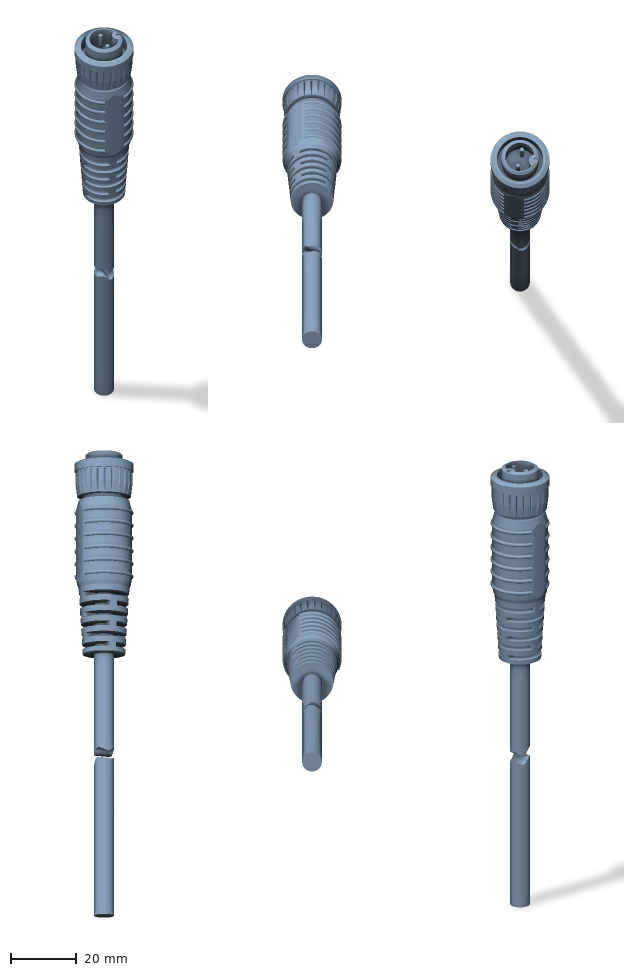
import cadquery as cq

TOTAL_LENGTH = 143.8
TOP_Z = TOTAL_LENGTH / 2
BOTTOM_Z = -TOTAL_LENGTH / 2
NUT_TOP_Z = 69.1
NUT_BOTTOM_Z = 58.4
GRIP_TOP_Z = 57.1
GRIP_BOTTOM_Z = 29.9
RELIEF_BOTTOM_Z = 9.3

NUT_DIAMETER = 18.0
NUT_RADIUS = NUT_DIAMETER / 2
NUT_RIM_BOTTOM_Z = 66.1
NUT_CHAMFER_WIDTH = 1.2
NUT_CHAMFER_HEIGHT = 0.6
NUT_BORE_RADIUS = 6.3
NUT_COUNTERBORE_RADIUS = 7.0
COLLAR_HEIGHT = 0.5
KNURL_RADIUS = 8.6
KNURL_TAPER_Z = 61.8
KNURL_END_RADIUS = 8.2
KNURL_CORE_RADIUS = 7.9
RIDGE_COUNT = 24
RIDGE_RADIUS = 1.0
RIDGE_FLATTENING = 0.3

SLEEVE_RADIUS = 5.6
SLEEVE_BORE_RADIUS = 4.5
SLEEVE_BORE_DEPTH = 7.2
SLEEVE_CHAMFER_WIDTH = 0.9
SLEEVE_CHAMFER_HEIGHT = 0.6
SHOULDER_Z = TOP_Z - SLEEVE_BORE_DEPTH
KEY_RADIUS = 2.0
KEY_OFFSET = 4.9
KEY_POCKET_SIZE = 1.3
KEY_POCKET_OFFSET = 4.7
KEY_POCKET_DEPTH = 0.7
PIN_RADIUS = 0.65
PIN_OFFSET = 2.6
PIN_SETBACK = 0.5
PIN_CHAMFER = 0.1
DIMPLE_RADIUS = 0.3
DIMPLE_DEPTH = 0.3
DIMPLE_Y = 1.7

GRIP_RADIUS = 8.5
GRIP_TOP_RADIUS = 7.8
GRIP_TOP_TAPER = 2.9
GRIP_END_RADIUS = 8.2
GRIP_END_Z = 31.0
GRIP_CYLINDER_BOTTOM_Z = 32.6
PANEL_OFFSET = 8.2
RIB_COUNT = 6
RIB_RADIUS = NUT_RADIUS
RIB_HEIGHT = 1.2
RIB_SPAN = 19.8
RIB_PITCH = RIB_SPAN / (RIB_COUNT - 1)
TOP_RIB_Z = 53.3
RIB_GAP_HALF_WIDTH = 3.2

RELIEF_TOP_RADIUS = 7.8
RELIEF_BOTTOM_RADIUS = 6.5
SLOT_COUNT = 6
SLOT_HEIGHT = 1.5
SLOT_PITCH = 3.2
TOP_SLOT_Z = 28.0
WEB_WIDTH = 2.2

CABLE_RADIUS = 3.0
CABLE_TOP_Z = 29.5
BREAK_UPPER_Z = -21.0
BREAK_LOWER_Z = -24.0
BREAK_WAVE = 1.0


def cylinder(radius, bottom_z, top_z, x=0.0, y=0.0):
    """Upright cylinder between two heights."""
    return cq.Workplane("XY", origin=(x, y, bottom_z)).circle(radius).extrude(top_z - bottom_z)


def revolved(points):
    """Solid of revolution about Z from (radius, z) points."""
    return cq.Workplane("YZ").polyline(points).close().revolve(360, (0, 0, 0), (0, 1, 0))


def make_knurl_ridges():
    """Flat-topped round ridges standing on the nut core, tapered at the bottom."""
    top_z = NUT_RIM_BOTTOM_Z - COLLAR_HEIGHT
    root_radius = (NUT_BORE_RADIUS + KNURL_CORE_RADIUS) / 2
    envelope = revolved([
        (root_radius, NUT_BOTTOM_Z),
        (KNURL_END_RADIUS, NUT_BOTTOM_Z),
        (KNURL_RADIUS, KNURL_TAPER_Z),
        (KNURL_RADIUS, top_z),
        (root_radius, top_z),
    ])
    centre_radius = KNURL_RADIUS + RIDGE_FLATTENING - RIDGE_RADIUS
    ridges = (
        cq.Workplane("XY", origin=(0, 0, NUT_BOTTOM_Z))
        .polarArray(centre_radius, 0, 360, RIDGE_COUNT)
        .circle(RIDGE_RADIUS)
        .extrude(top_z - NUT_BOTTOM_Z)
    )
    return envelope.intersect(ridges)


def make_nut():
    """Knurled ring with a plain chamfered rim and a counterbored hole for the neck."""
    core = revolved([
        (NUT_BORE_RADIUS, NUT_BOTTOM_Z),
        (KNURL_CORE_RADIUS, NUT_BOTTOM_Z),
        (KNURL_CORE_RADIUS, NUT_RIM_BOTTOM_Z - COLLAR_HEIGHT),
        (KNURL_RADIUS, NUT_RIM_BOTTOM_Z - COLLAR_HEIGHT),
        (KNURL_RADIUS, NUT_RIM_BOTTOM_Z),
        (NUT_RADIUS, NUT_RIM_BOTTOM_Z),
        (NUT_RADIUS, NUT_TOP_Z - NUT_CHAMFER_HEIGHT),
        (NUT_RADIUS - NUT_CHAMFER_WIDTH, NUT_TOP_Z),
        (NUT_COUNTERBORE_RADIUS, NUT_TOP_Z),
        (NUT_COUNTERBORE_RADIUS, SHOULDER_Z),
        (NUT_BORE_RADIUS, SHOULDER_Z),
    ])
    return core.union(make_knurl_ridges())


def rib_height(index):
    """Middle height of one grip rib, counted from the top."""
    return TOP_RIB_Z - index * RIB_PITCH


def make_body_blank():
    """Sleeve, neck, ribbed grip and tapered strain relief turned in one piece."""
    outline = (
        cq.Workplane("YZ")
        .moveTo(0, RELIEF_BOTTOM_Z)
        .lineTo(RELIEF_BOTTOM_RADIUS, RELIEF_BOTTOM_Z)
        .lineTo(RELIEF_TOP_RADIUS, GRIP_BOTTOM_Z)
        .lineTo(GRIP_END_RADIUS, GRIP_END_Z)
        .lineTo(GRIP_RADIUS, GRIP_CYLINDER_BOTTOM_Z)
    )
    for i in reversed(range(RIB_COUNT)):
        z = rib_height(i)
        outline = outline.lineTo(GRIP_RADIUS, z - RIB_HEIGHT / 2).threePointArc(
            (RIB_RADIUS, z), (GRIP_RADIUS, z + RIB_HEIGHT / 2)
        )
    return (
        outline.lineTo(GRIP_RADIUS, GRIP_TOP_Z - GRIP_TOP_TAPER)
        .lineTo(GRIP_TOP_RADIUS, GRIP_TOP_Z)
        .lineTo(NUT_BORE_RADIUS, GRIP_TOP_Z)
        .lineTo(NUT_BORE_RADIUS, SHOULDER_Z)
        .lineTo(SLEEVE_RADIUS, SHOULDER_Z)
        .lineTo(SLEEVE_RADIUS, TOP_Z - SLEEVE_CHAMFER_HEIGHT)
        .lineTo(SLEEVE_RADIUS - SLEEVE_CHAMFER_WIDTH, TOP_Z)
        .lineTo(0, TOP_Z)
        .close()
        .revolve(360, (0, 0, 0), (0, 1, 0))
    )


def make_rib_gap(index):
    """Cut that interrupts one rib around both flat panels."""
    z = rib_height(index)
    strip = cq.Workplane("XY", origin=(0, 0, z)).box(
        4 * RIB_RADIUS, 2 * RIB_GAP_HALF_WIDTH, RIB_HEIGHT
    )
    return strip.cut(cylinder(GRIP_RADIUS, z - RIB_HEIGHT, z + RIB_HEIGHT))


def make_panel_cut(side):
    """Block whose inner face leaves a flat panel on one X side of the grip."""
    thickness = RIB_RADIUS - PANEL_OFFSET
    height = GRIP_TOP_Z - GRIP_BOTTOM_Z
    x = side * (PANEL_OFFSET + thickness / 2)
    z = GRIP_BOTTOM_Z + height / 2
    return cq.Workplane("XY", origin=(x, 0, z)).box(thickness, 2 * RIB_GAP_HALF_WIDTH, height)


def make_slot(index):
    """Ring slot down to the cable, bridged by two webs on X or Y in turn."""
    top_z = TOP_SLOT_Z - index * SLOT_PITCH
    bottom_z = top_z - SLOT_HEIGHT
    span = 2 * RELIEF_TOP_RADIUS
    web_x, web_y = (span, WEB_WIDTH) if index % 2 == 0 else (WEB_WIDTH, span)
    web = cq.Workplane("XY", origin=(0, 0, bottom_z)).rect(web_x, web_y).extrude(SLOT_HEIGHT)
    return cylinder(RELIEF_TOP_RADIUS, bottom_z, top_z).cut(web)


def make_socket():
    """Space inside the sleeve, with the key and the contact pins left standing."""
    floor_z = SHOULDER_Z
    socket = cylinder(SLEEVE_BORE_RADIUS, floor_z, TOP_Z)
    socket = socket.cut(cylinder(KEY_RADIUS, floor_z, TOP_Z, 0, KEY_OFFSET))
    pin_top_z = TOP_Z - PIN_SETBACK
    for x in (-PIN_OFFSET, PIN_OFFSET):
        pin = cylinder(PIN_RADIUS, floor_z, pin_top_z, x).faces(">Z").chamfer(PIN_CHAMFER)
        socket = socket.cut(pin)
    dimple = cylinder(DIMPLE_RADIUS, floor_z - DIMPLE_DEPTH, floor_z, PIN_OFFSET, DIMPLE_Y)
    pocket = (
        cq.Workplane("XY", origin=(0, KEY_POCKET_OFFSET, TOP_Z - KEY_POCKET_DEPTH))
        .rect(KEY_POCKET_SIZE, KEY_POCKET_SIZE)
        .extrude(KEY_POCKET_DEPTH)
    )
    return socket.union(dimple).union(pocket)


def make_body():
    """Moulded connector body: plug, grip and strain relief."""
    body = make_body_blank()
    for i in range(RIB_COUNT):
        body = body.cut(make_rib_gap(i))
    for side in (-1, 1):
        body = body.cut(make_panel_cut(side))
    for i in range(SLOT_COUNT):
        body = body.cut(make_slot(i))
    body = body.cut(make_socket())
    return body.cut(cylinder(CABLE_RADIUS, RELIEF_BOTTOM_Z, CABLE_TOP_Z))


def make_cable(mean_z, end_z):
    """Length of cable from the wavy break to a flat end above or below it."""
    half = CABLE_RADIUS / 2
    block = (
        cq.Workplane("YZ", origin=(-CABLE_RADIUS, 0, 0))
        .moveTo(-CABLE_RADIUS, mean_z)
        .threePointArc((-half, mean_z + BREAK_WAVE), (0, mean_z))
        .threePointArc((half, mean_z - BREAK_WAVE), (CABLE_RADIUS, mean_z))
        .lineTo(CABLE_RADIUS, end_z)
        .lineTo(-CABLE_RADIUS, end_z)
        .close()
        .extrude(2 * CABLE_RADIUS)
    )
    return block.intersect(cylinder(CABLE_RADIUS, BOTTOM_Z, CABLE_TOP_Z))


nut = make_nut()
body = make_body()
upper_cable = make_cable(BREAK_UPPER_Z, CABLE_TOP_Z)
lower_cable = make_cable(BREAK_LOWER_Z, BOTTOM_Z)

result = cq.Compound.makeCompound([nut.val(), body.val(), upper_cable.val(), lower_cable.val()])